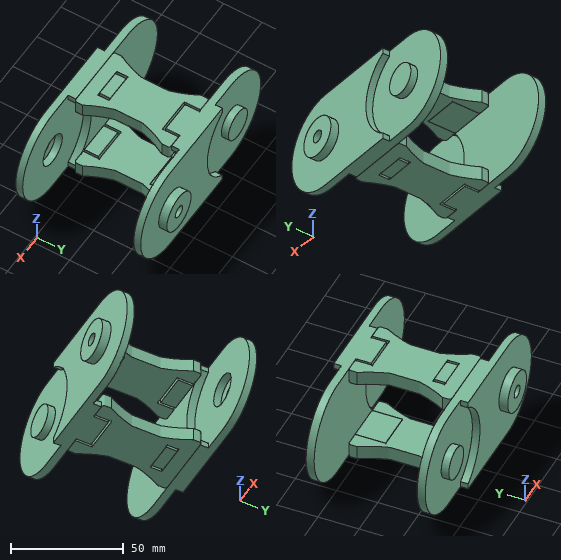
import cadquery as cq

length = 105.9
width = 74.0
height = 50.0
lobe_radius = height / 2
lobe_x = length / 2 - lobe_radius
inner_face = 25.0
split_face = 29.0
outer_face = 32.7
hub_end = width / 2
overlap_half = 15.0
relief_radius = 25.5
pin_diameter = 15.9
hub_diameter = 20.1
hub_hole_diameter = 6.0
socket_diameter = 16.0

bar_thickness = 7.1
bar_end_half_width = 16.4
bar_waist_half_width = 10.9
bar_shoulder_y = 20.8
bar_waist_y = 7.2
bar_flank_radius = 58.3
bar_corner_radius = 1.3
bar_top = height / 2
bar_bottom = bar_top - bar_thickness

clearance = 1.1
tab_width = 16.1
notch_width = tab_width + 2 * clearance
tab_end_y = 17.6

tongue_gap = 0.1
tongue_width = notch_width - 2 * tongue_gap
tongue_end_y = 10.2
tongue_thickness = bar_thickness / 2
window_width = 15.8
hook_width = 13.2
window_near_y = 18.0
window_far_y = 12.3


def block(x_size, y_start, y_end, z_start, z_end):
    """Box centred on X = 0 between the given Y and Z limits."""
    return cq.Workplane("XY").box(
        x_size, y_end - y_start, z_end - z_start, centered=(True, False, False)
    ).translate((0, y_start, z_start))


def disc(x, diameter, y_start, y_end):
    """Cylinder along Y on the axis at X = x, Z = 0."""
    return (
        cq.Workplane("XZ", origin=(x, y_start, 0))
        .circle(diameter / 2)
        .extrude(y_start - y_end)
    )


def lobe(side, y_start, y_end):
    """Plate with a round end at side * X, hollowed by the relief arc at its other end."""
    straight_length = lobe_x + overlap_half
    straight = cq.Workplane("XY").box(
        straight_length, y_end - y_start, height, centered=(True, False, True)
    ).translate((side * (lobe_x - overlap_half) / 2, y_start, 0))
    relief = disc(-side * lobe_x, 2 * relief_radius, y_start, y_end)
    return straight.union(disc(side * lobe_x, height, y_start, y_end)).cut(relief)


def make_plate():
    """Side plate at +Y with its tab at the top and its tongue at the bottom."""
    plate = lobe(-1, inner_face, split_face).union(lobe(1, split_face, outer_face))
    plate = plate.union(disc(-lobe_x, pin_diameter, split_face, outer_face))
    plate = plate.union(disc(lobe_x, hub_diameter, outer_face, hub_end))
    plate = plate.cut(disc(lobe_x, socket_diameter, split_face, outer_face))
    plate = plate.cut(disc(lobe_x, hub_hole_diameter, outer_face, hub_end))

    tab = block(tab_width, tab_end_y, inner_face, bar_bottom, bar_top)
    tongue_top = -bar_bottom
    tongue_bottom = tongue_top - tongue_thickness
    tongue = block(tongue_width, tongue_end_y, inner_face, tongue_bottom, tongue_top)
    hook = block(hook_width, window_far_y, window_near_y, -bar_top, tongue_bottom)
    return plate.union(tab).union(tongue).union(hook)


def make_bar():
    """Top crossbar with its notch at +Y and its groove and window at -Y."""
    bar = (
        cq.Workplane("XY", origin=(0, 0, bar_bottom))
        .moveTo(-bar_end_half_width, -inner_face)
        .lineTo(bar_end_half_width, -inner_face)
        .lineTo(bar_end_half_width, -bar_shoulder_y)
        .radiusArc((bar_waist_half_width, -bar_waist_y), bar_flank_radius)
        .lineTo(bar_waist_half_width, bar_waist_y)
        .radiusArc((bar_end_half_width, bar_shoulder_y), bar_flank_radius)
        .lineTo(bar_end_half_width, inner_face)
        .lineTo(-bar_end_half_width, inner_face)
        .lineTo(-bar_end_half_width, bar_shoulder_y)
        .radiusArc((-bar_waist_half_width, bar_waist_y), bar_flank_radius)
        .lineTo(-bar_waist_half_width, -bar_waist_y)
        .radiusArc((-bar_end_half_width, -bar_shoulder_y), bar_flank_radius)
        .close()
        .extrude(bar_thickness)
    )
    bar = bar.edges("|Z").edges("<Y or >Y").fillet(bar_corner_radius)

    notch = block(notch_width, tab_end_y - clearance, inner_face, bar_bottom, bar_top)
    groove = block(
        notch_width,
        -inner_face,
        tongue_gap - tongue_end_y,
        bar_bottom,
        bar_bottom + tongue_thickness,
    )
    window = block(window_width, -window_near_y, -window_far_y, bar_bottom, bar_top)
    return bar.cut(notch).cut(groove).cut(window)


plates = []
bars = []
for angle in (0, 180):
    plates.append(make_plate().rotate((0, 0, 0), (1, 0, 0), angle))
    bars.append(make_bar().rotate((0, 0, 0), (1, 0, 0), angle))

result = cq.Compound.makeCompound([body.val() for body in plates + bars])